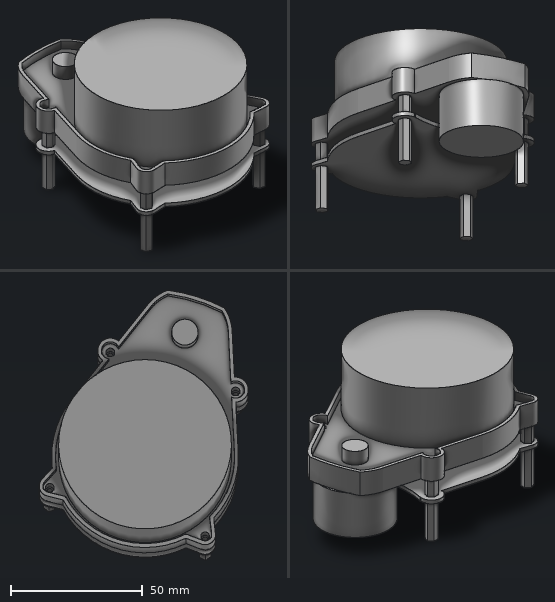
import cadquery as cq
import math

housing_height = 10.0
floor_top = 6.4
drum_top = 32.0
boss_top = 12.2
board_top = -8.0
board_thickness = 1.6
motor_length = 19.0
post_length = 27.0

drum_diameter = 65.6
motor_diameter = 32.0
boss_diameter = 10.0
motor_x = -49.9

wall = 1.5
main_radius = 35.5
motor_end_radius = 18.0
nose_radius = 64.9

front_ear = (-35.0, 24.9)
front_ear_radius = 4.9
rear_ear = (22.0, 30.9)
rear_ear_radius = 4.1
rear_ear_side_normals = (114.5, -3.5)
rear_ear_side_length = 10.1

board_front_x = -33.5
board_corner = (-39.5, 23.0)

post_across_flats = 4.5
post_bore = 2.0
floor_hole = 3.2
posts = [
    (front_ear[0], front_ear[1], 18.0),
    (front_ear[0], -front_ear[1], -3.5),
    (rear_ear[0], rear_ear[1], 23.0),
    (rear_ear[0], -rear_ear[1], 9.0),
]


def cylinder(x, y, radius, bottom, top):
    return cq.Workplane("XY", origin=(x, y, bottom)).circle(radius).extrude(top - bottom)


def polar(center, radius, angle):
    """Point at a distance and direction (degrees) from a center."""
    turn = math.radians(angle)
    return (center[0] + radius * math.cos(turn), center[1] + radius * math.sin(turn))


def body(inset, bottom, top):
    """Two rounds joined by tangent sides, cut off by the nose arc."""
    big = main_radius - inset
    small = motor_end_radius - inset
    tangent_angle = 90 + math.degrees(math.asin((big - small) / -motor_x))
    upper_big = polar((0, 0), big, tangent_angle)
    upper_small = polar((motor_x, 0), small, tangent_angle)
    outline = (
        cq.Workplane("XY", origin=(0, 0, bottom))
        .moveTo(*upper_big)
        .lineTo(*upper_small)
        .threePointArc((motor_x - small, 0), (upper_small[0], -upper_small[1]))
        .lineTo(upper_big[0], -upper_big[1])
        .threePointArc((big, 0), upper_big)
        .close()
    )
    nose = cylinder(0, 0, nose_radius - inset, bottom, top)
    return outline.extrude(top - bottom).intersect(nose)


def rear_ear_block(inset, bottom, top):
    """Rounded ear whose two sides run tangentially from its tip into the main round."""
    radius = rear_ear_radius - inset
    upper_normal, outer_normal = rear_ear_side_normals
    upper_tip = polar(rear_ear, radius, upper_normal)
    outer_tip = polar(rear_ear, radius, outer_normal)
    upper_root = polar(upper_tip, rear_ear_side_length, upper_normal + 90)
    outer_root = polar(outer_tip, rear_ear_side_length, outer_normal - 90)
    sides = (
        cq.Workplane("XY", origin=(0, 0, bottom))
        .polyline([rear_ear, upper_tip, upper_root, outer_root, outer_tip])
        .close()
        .extrude(top - bottom)
    )
    return sides.union(cylinder(*rear_ear, radius, bottom, top))


def footprint(inset, bottom, top):
    """Housing outline with its four ears, moved inward by the inset."""
    ears = cylinder(*front_ear, front_ear_radius - inset, bottom, top)
    ears = ears.union(rear_ear_block(inset, bottom, top))
    return body(inset, bottom, top).union(ears).union(ears.mirror("XZ"))


def make_housing():
    housing = footprint(0, 0, housing_height).cut(footprint(wall, floor_top, housing_height))
    for x, y, _ in posts:
        housing = housing.cut(cylinder(x, y, floor_hole / 2, 0, floor_top))
    return housing


def make_board():
    """Plate below the housing that stops short of the motor with a concave edge."""
    bottom = board_top - board_thickness
    corner_x, corner_y = board_corner
    beyond_nose = -2 * nose_radius
    motor_clearance = (
        cq.Workplane("XY", origin=(0, 0, bottom))
        .moveTo(beyond_nose, corner_y)
        .lineTo(corner_x, corner_y)
        .threePointArc((board_front_x, 0), (corner_x, -corner_y))
        .lineTo(beyond_nose, -corner_y)
        .close()
        .extrude(board_thickness)
    )
    return footprint(0, bottom, board_top).cut(motor_clearance)


def make_post(x, y, corner_angle):
    across_corners = post_across_flats / math.cos(math.radians(30))
    return (
        cq.Workplane("XY")
        .polygon(6, across_corners)
        .extrude(-post_length)
        .rotate((0, 0, 0), (0, 0, 1), corner_angle)
        .translate((x, y, 0))
    )


result = make_housing().union(make_board())
result = result.union(cylinder(0, 0, drum_diameter / 2, floor_top, drum_top))
result = result.union(cylinder(motor_x, 0, motor_diameter / 2, -motor_length, 0))
result = result.union(cylinder(motor_x, 0, boss_diameter / 2, floor_top, boss_top))
for x, y, corner_angle in posts:
    result = result.union(make_post(x, y, corner_angle))
    result = result.cut(cylinder(x, y, post_bore / 2, board_top, 0))